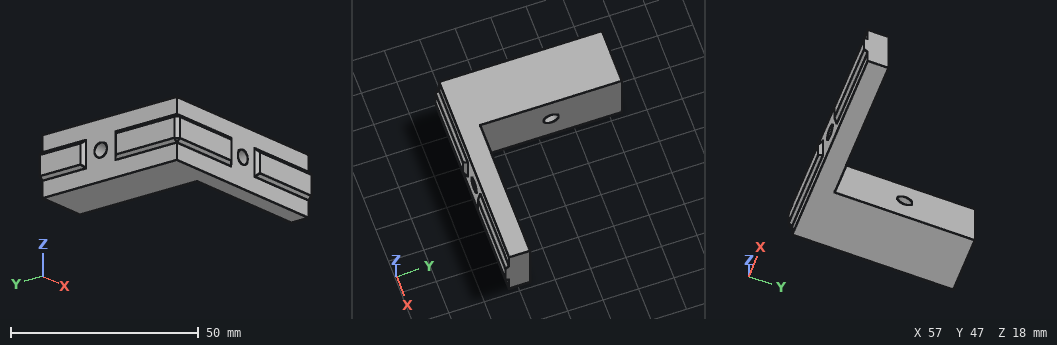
import cadquery as cq

LENGTH_X = 57.0
LENGTH_Y = 47.0
HEIGHT = 18.0

RAIL_HEIGHT = 1.0
PLATE_BACK_Y = 7.0
LEG_BACK_X = 17.0

RAIL_WIDTH = 8.1
RAIL_GAP = 10.0
BEVEL_ANGLE = 45
HOLE_DIAMETER = 4.2

MID_Z = HEIGHT / 2
WALL = RAIL_HEIGHT
PLATE_HOLE_X = (WALL + LENGTH_X) / 2
LEG_HOLE_Y = (PLATE_BACK_Y + LENGTH_Y) / 2

FRONT_WALL = cq.Plane(origin=(0, WALL, MID_Z), xDir=(1, 0, 0), normal=(0, -1, 0))
LEFT_WALL = cq.Plane(origin=(WALL, 0, MID_Z), xDir=(0, -1, 0), normal=(-1, 0, 0))


def box_between(x_start, x_end, y_start, y_end):
    """Full-height block between the given X and Y limits."""
    return cq.Workplane("XY").box(
        x_end - x_start, y_end - y_start, HEIGHT, centered=False
    ).translate((x_start, y_start, 0))


def bevelled_rail(wall, start, end):
    """Rail raised from a wall, bevelled on all four sides."""
    return (
        cq.Workplane(wall)
        .center((start + end) / 2, 0)
        .rect(abs(end - start), RAIL_WIDTH)
        .extrude(RAIL_HEIGHT, taper=BEVEL_ANGLE)
    )


def wall_rails(wall, corner, far_end, hole, direction):
    """Two rails on one wall, separated by the gap around its hole.

    Their outer ends run past the wall by the bevel length, so that
    trimming them leaves square ends.
    """
    overrun = direction * RAIL_HEIGHT
    half_gap = direction * RAIL_GAP / 2
    near_rail = bevelled_rail(wall, corner - overrun, hole - half_gap)
    far_rail = bevelled_rail(wall, hole + half_gap, far_end + overrun)
    return near_rail.union(far_rail)


def corner_bridge():
    """Bevelled wedge joining the rails around the outer vertical corner."""
    half_base = RAIL_WIDTH / 2
    half_face = half_base - RAIL_HEIGHT
    reach = RAIL_HEIGHT / 2**0.5
    diagonal = cq.Plane(
        origin=(WALL, WALL, MID_Z), xDir=(-1, -1, 0), normal=(-1, 1, 0)
    )
    profile = [
        (0, -half_base),
        (reach, -half_face),
        (reach, half_face),
        (0, half_base),
    ]
    wedge = cq.Workplane(diagonal).polyline(profile).close().extrude(
        2 * RAIL_HEIGHT, both=True
    )
    return wedge.intersect(box_between(0, WALL, 0, WALL))


def through_hole(wall, position, depth):
    """Round hole cutter running inwards from a wall."""
    return (
        cq.Workplane(wall)
        .center(position, 0)
        .circle(HOLE_DIAMETER / 2)
        .extrude(-depth)
    )


plate = box_between(WALL, LENGTH_X, WALL, PLATE_BACK_Y)
leg = box_between(WALL, LEG_BACK_X, WALL, LENGTH_Y)

front_rails = wall_rails(FRONT_WALL, WALL, LENGTH_X, PLATE_HOLE_X, 1).intersect(
    box_between(WALL, LENGTH_X, 0, WALL)
)
left_rails = wall_rails(LEFT_WALL, -WALL, -LENGTH_Y, -LEG_HOLE_Y, -1).intersect(
    box_between(0, WALL, WALL, LENGTH_Y)
)

result = (
    plate.union(leg)
    .union(front_rails)
    .union(left_rails)
    .union(corner_bridge())
    .cut(through_hole(FRONT_WALL, PLATE_HOLE_X, PLATE_BACK_Y - WALL))
    .cut(through_hole(LEFT_WALL, -LEG_HOLE_Y, LEG_BACK_X - WALL))
)